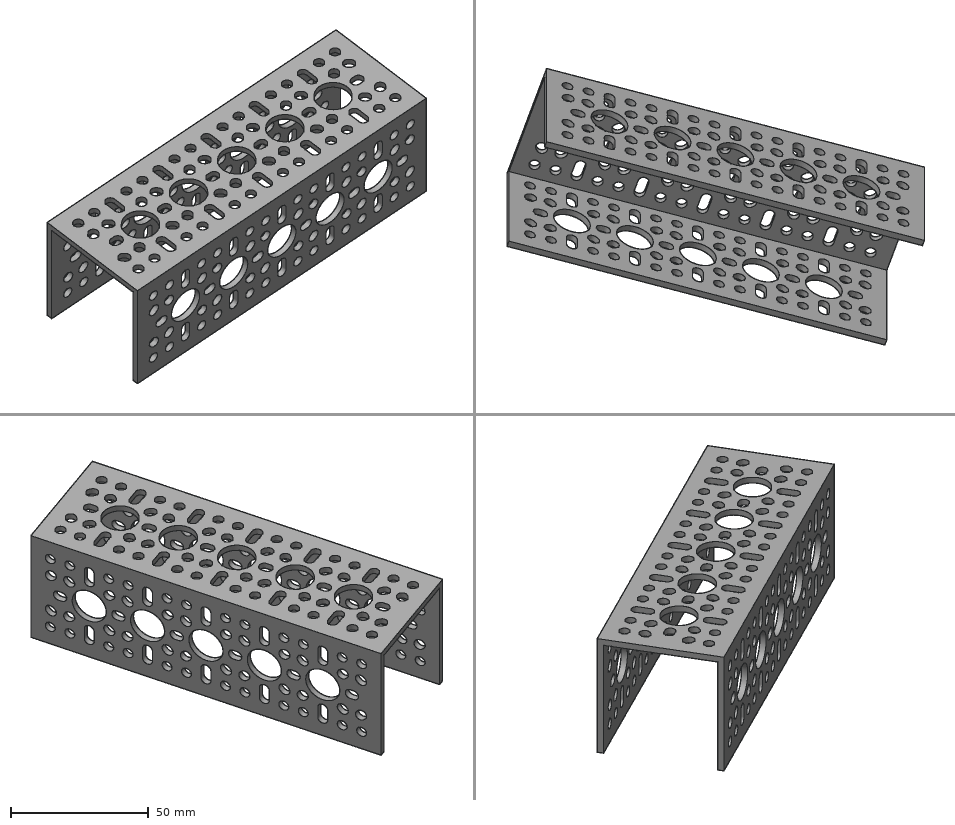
import cadquery as cq
import math

length = 144.0
bore_count = 5
pitch = length / (bore_count + 1)
width = 2 * pitch
height = width
wall = 2.5

bore_diameter = 14.0
hole_diameter = 4.0
grid = pitch / 3
edge_row = 2 * grid
square_radius = grid * math.sqrt(2)
circle_radius = pitch / 2

cut_depth = 2 * width

bore_centres = [-length / 2 + (i + 1) * pitch for i in range(bore_count)]
gap_centres = [-length / 2 + (i + 0.5) * pitch for i in range(bore_count + 1)]


def channel():
    outer = cq.Workplane("XY").box(width, length, height)
    inner = cq.Workplane("XY").box(width - 2 * wall, length, height).translate((0, 0, -wall))
    return outer.cut(inner)


def slot(start, end):
    """Vertical slot cutter whose end arcs are centred on two (across, along) points."""
    run_across = end[0] - start[0]
    run_along = end[1] - start[1]
    return (
        cq.Workplane("XY")
        .center((start[0] + end[0]) / 2, (start[1] + end[1]) / 2)
        .slot2D(
            math.hypot(run_across, run_along) + hole_diameter,
            hole_diameter,
            math.degrees(math.atan2(run_along, run_across)),
        )
        .extrude(cut_depth)
    )


def round_holes(points, diameter):
    return cq.Workplane("XY").pushPoints(points).circle(diameter / 2).extrude(cut_depth)


def pattern_cutters():
    """Cutters for one face, rising from the XY plane, centred on the face."""
    cutters = [round_holes([(0, along) for along in bore_centres], bore_diameter)]

    edge_holes = [
        (side * edge_row, gap + step * grid / 2)
        for side in (-1, 1)
        for gap in gap_centres
        for step in (-1, 1)
    ]
    cutters.append(round_holes(edge_holes, hole_diameter))

    half_gap = pitch / 2 - square_radius
    for gap in gap_centres:
        cutters.append(slot((0, gap - half_gap), (0, gap + half_gap)))

    for along in bore_centres:
        for side in (-1, 1):
            cutters.append(slot((side * square_radius, along), (side * edge_row, along)))

    near = square_radius / math.sqrt(2)
    far = circle_radius / math.sqrt(2)
    for gap in gap_centres:
        for side in (-1, 1):
            for end in (-1, 1):
                node = gap + end * pitch / 2
                cutters.append(slot((side * near, node - end * near), (side * far, node - end * far)))
    return cutters


def perforate(body):
    web_cutters = [solid for cutter in pattern_cutters() for solid in cutter.solids().vals()]
    flange_cutters = [
        cutter.translate(cq.Vector(0, 0, -cut_depth / 2)).rotate(cq.Vector(0, 0, 0), cq.Vector(0, 1, 0), 90)
        for cutter in web_cutters
    ]
    return cq.Workplane("XY").newObject([body.val().cut(*web_cutters).cut(*flange_cutters).Solids()[0]])


result = perforate(channel())